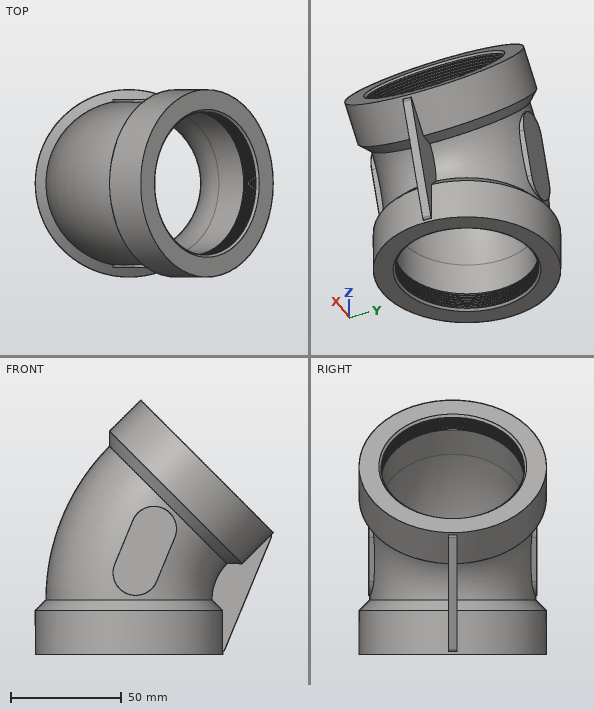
import cadquery as cq
import math


overall_height = 115.4
bend_angle = 45.0
collar_diameter = 85.0
collar_length = 20.0
body_diameter = 75.4
bore_diameter = 65.0
mouth_chamfer = 1.0

groove_count = 6
groove_pitch = 1.33
groove_width = 0.7
groove_depth = 0.6

web_thickness = 4.0
web_edge_radius = 1.5

plaque_length = 42.0
plaque_width = 20.5
plaque_half_span = 38.1
plaque_arc_radius = 58.0

collar_radius = collar_diameter / 2
body_radius = body_diameter / 2
bore_radius = bore_diameter / 2
angle = math.radians(bend_angle)

leg_length = (overall_height - collar_radius * math.sin(angle)) / (1 + math.cos(angle))
bend_start = collar_length + collar_radius - body_radius
bend_radius = (leg_length - bend_start) / math.tan(angle / 2)


def at_outlet(inlet_shape):
    """Return the copy of an inlet shape that belongs to the outlet."""
    flipped = inlet_shape.mirror("XY", (0, 0, bend_start))
    return flipped.rotate((bend_radius, 0, bend_start), (bend_radius, 1, bend_start), bend_angle)


def turned(profile):
    """Revolve a closed (radius, height) profile about the Z axis."""
    return cq.Workplane("XZ").polyline(profile).close().revolve(360, (0, 0), (0, 1))


def bend(radius):
    """Round bar that follows the curved part of the elbow axis."""
    start = cq.Workplane("XY", origin=(0, 0, bend_start)).circle(radius)
    return start.revolve(bend_angle, (bend_radius, 0), (bend_radius, 1))


def collar():
    return turned([
        (0, 0),
        (collar_radius, 0),
        (collar_radius, collar_length),
        (body_radius, bend_start),
        (0, bend_start),
    ])


def collar_bore():
    """Chamfered bore with the thread grooves, as one profile."""
    profile = [(0, 0), (bore_radius + mouth_chamfer, 0), (bore_radius, mouth_chamfer)]
    for index in range(groove_count):
        groove_end = mouth_chamfer + (index + 1) * groove_pitch
        profile += [
            (bore_radius, groove_end - groove_width),
            (bore_radius + groove_depth, groove_end - groove_width / 2),
            (bore_radius, groove_end),
        ]
    profile += [(bore_radius, bend_start), (0, bend_start)]
    return turned(profile)


def web():
    """Flat plate in the inside corner, between the nearest rim points of the two collars."""
    inlet_rim = (collar_radius, 0)
    outlet_rim = (
        leg_length * math.sin(angle) + collar_radius * math.cos(angle),
        leg_length * (1 + math.cos(angle)) - collar_radius * math.sin(angle),
    )
    axis_crossing = (0, leg_length)
    plate = (
        cq.Workplane("XZ")
        .polyline([inlet_rim, outlet_rim, axis_crossing])
        .close()
        .extrude(web_thickness / 2, both=True)
    )
    outer_face = plate.faces(">(1, 0, -0.4)")
    return outer_face.edges("not #Y").edges("<Y or >Y").fillet(web_edge_radius)


def plaques():
    """Flat rounded pads on both sides, lined up with the middle of the bend and trimmed to its surface."""
    middle = (
        bend_radius - plaque_arc_radius * math.cos(angle / 2),
        bend_start + plaque_arc_radius * math.sin(angle / 2),
    )
    through_bar = (
        cq.Workplane("XZ")
        .center(*middle)
        .slot2D(plaque_length, plaque_width, 90 - bend_angle / 2)
        .extrude(plaque_half_span, both=True)
    )
    return through_bar.cut(bend(body_radius))


outside = bend(body_radius).union(plaques())
outside = outside.union(collar()).union(at_outlet(collar())).union(web())
passage = bend(bore_radius).union(collar_bore()).union(at_outlet(collar_bore()))
result = outside.cut(passage)